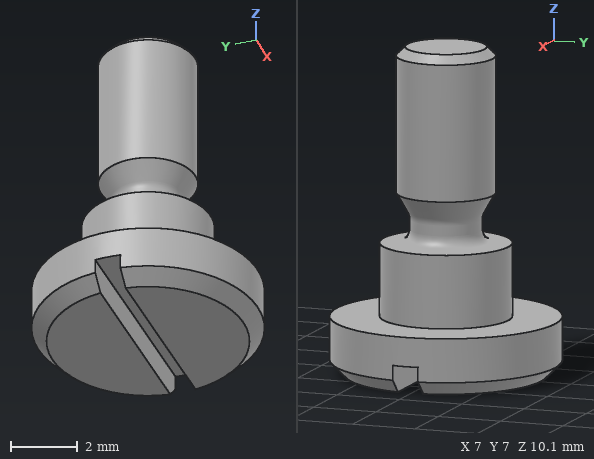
import cadquery as cq
import math

total_height = 10.05
head_radius = 7.0 / 2
head_height = 1.8
head_chamfer = 0.45

slot_width = 0.8
slot_depth = 0.9

shoulder_radius = 4.0 / 2
shoulder_top = head_height + 2.25

shank_radius = 3.0 / 2
neck_radius = 2.2 / 2
neck_fillet = shank_radius - neck_radius
neck_top = 4.78
relief_radius = 0.38
cone_angle = math.radians(30)

tip_chamfer = 0.27


def relief_point(angle):
    """Point on the concave relief arc, at the given turn from vertical."""
    return (
        neck_radius + relief_radius * (1 - math.cos(angle)),
        neck_top + relief_radius * math.sin(angle),
    )


def revolved_body():
    """Head, shoulder, neck and shank as one turned profile (radius, height)."""
    cone_start = relief_point(cone_angle)
    shank_bottom = cone_start[1] + (shank_radius - cone_start[0]) / math.tan(cone_angle)
    fillet_offset = neck_fillet * (1 - math.sqrt(0.5))
    profile = (
        cq.Workplane("XZ")
        .moveTo(0, 0)
        .lineTo(head_radius - head_chamfer, 0)
        .lineTo(head_radius, head_chamfer)
        .lineTo(head_radius, head_height)
        .lineTo(shoulder_radius, head_height)
        .lineTo(shoulder_radius, shoulder_top)
        .lineTo(neck_radius + neck_fillet, shoulder_top)
        .threePointArc(
            (neck_radius + fillet_offset, shoulder_top + fillet_offset),
            (neck_radius, shoulder_top + neck_fillet),
        )
        .lineTo(neck_radius, neck_top)
        .threePointArc(relief_point(cone_angle / 2), cone_start)
        .lineTo(shank_radius, shank_bottom)
        .lineTo(shank_radius, total_height - tip_chamfer)
        .lineTo(shank_radius - tip_chamfer, total_height)
        .lineTo(0, total_height)
        .close()
    )
    return profile.revolve(360, (0, 0, 0), (0, 1, 0))


def driver_slot():
    """Straight slot along X, open at both sides of the head."""
    return cq.Workplane("XY").box(
        2 * head_radius, slot_width, slot_depth, centered=(True, True, False)
    )


result = revolved_body().cut(driver_slot())